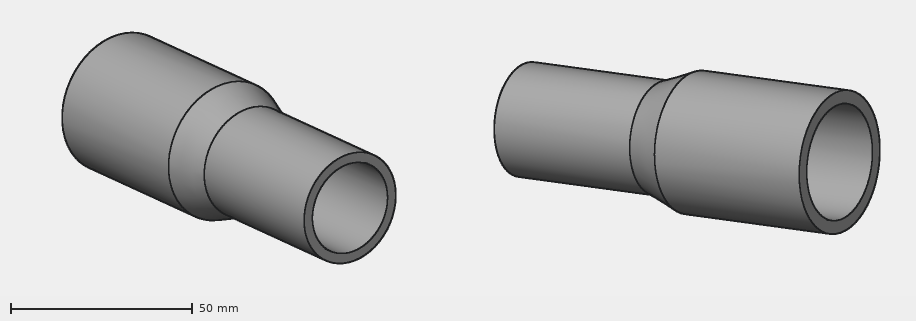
import cadquery as cq

total_length = 104.0
large_diameter = 40.0
small_diameter = 32.0
large_bore = 32.5
small_bore = 26.2
taper_start = 48.0
taper_end = 59.0


def stepped_body(first_diameter, second_diameter):
    """Two coaxial cylinders joined by a cone, centred on the origin along X."""
    first_radius = first_diameter / 2
    second_radius = second_diameter / 2
    half_profile = (
        cq.Workplane("XY")
        .moveTo(0, 0)
        .lineTo(0, first_radius)
        .lineTo(taper_start, first_radius)
        .lineTo(taper_end, second_radius)
        .lineTo(total_length, second_radius)
        .lineTo(total_length, 0)
        .close()
    )
    body = half_profile.revolve(360, (0, 0, 0), (1, 0, 0))
    return body.translate((-total_length / 2, 0, 0))


outer_body = stepped_body(large_diameter, small_diameter)
bore = stepped_body(large_bore, small_bore)

result = outer_body.cut(bore)